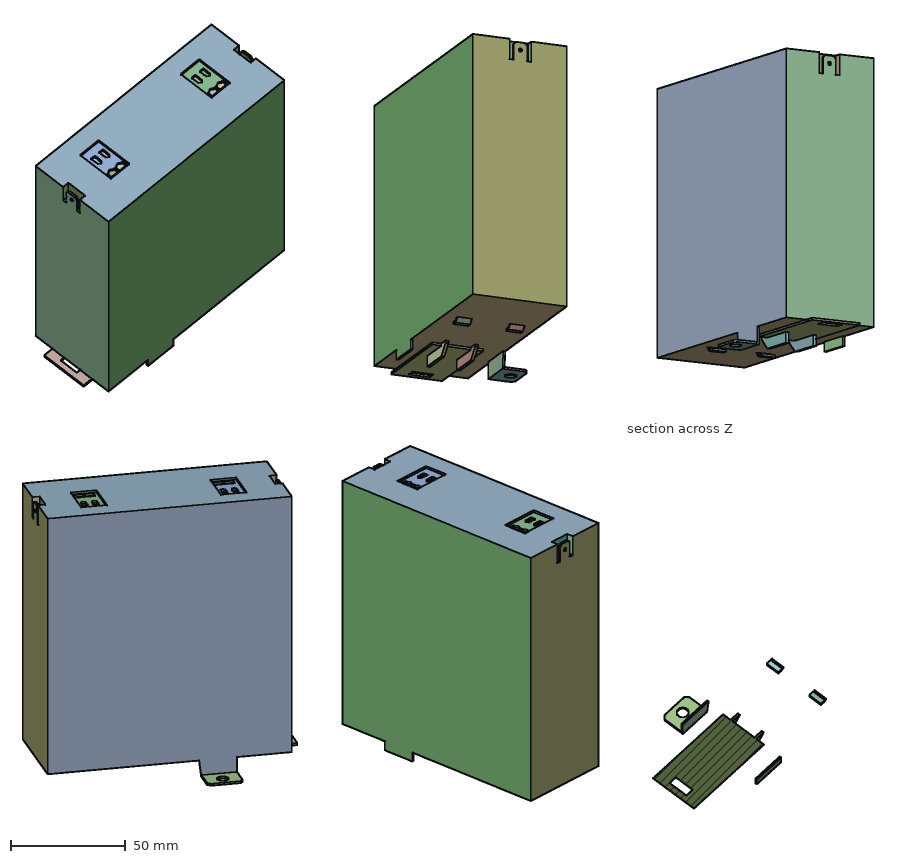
import cadquery as cq

OVERALL_X = 55.76
OVERALL_Y = 115.08
OVERALL_Z = 127.36
SHEET = 1.0

CASE_X = 44.5
CASE_Y = 110.0
CASE_Z = 119.5
MID_X = CASE_X / 2

NOTCH_MID_X = 21.95
NOTCH_WIDTH = 10.2
NOTCH_INSET = 3.3
NOTCH_DEPTH = 9.3
TONGUE_WIDTH = 6.3
TONGUE_CHAMFER = 1.1
TONGUE_DROP = 1.0
TONGUE_HOLE_DIA = 1.5
TONGUE_HOLE_DROP = 4.6

WINDOW_X = 18.8
WINDOW_Y = 11.6
WINDOW_DEPTH = SHEET
WINDOW_LEFT = 9.7
WINDOW_CENTRES_Y = (23.7, 86.6)
POLE_PITCH = 5.0
POLE_OFFSET_Y = 0.3
POLE_DEPTH = 1.0
RELEASE_LEFT = 4.3
RELEASE_LENGTH = 4.8
RELEASE_WIDTH = 2.2
RELEASE_HEAD_LENGTH = 2.6
RELEASE_HEAD_WIDTH = 2.4
RELEASE_BULGE = 0.8
ENTRY_RIGHT = 1.0
ENTRY_LENGTH = 2.7
ENTRY_WIDTH = 4.3
ENTRY_BULGE = 0.7
ENTRY_BULGE_WIDTH = 2.6

BRACKET_FRONT = 24.7
BRACKET_WIDTH = 16.0
BRACKET_ROOT_WIDTH = 17.0
BRACKET_DROP = OVERALL_Z - CASE_Z
BRACKET_REACH = OVERALL_X - CASE_X
BRACKET_CHAMFER = 1.5
BRACKET_HOLE_DIA = 5.2
BRACKET_HOLE_REACH = 6.3

LIP_DROP = 4.4

PLATE_WIDTH = 24.1
PLATE_FRONT = CASE_Y - OVERALL_Y
PLATE_BACK = BRACKET_FRONT + BRACKET_WIDTH
PLATE_SLOT_WIDTH = 9.8
PLATE_SLOT_FRONT = -2.05
PLATE_SLOT_LENGTH = 4.0
FIN_WIDTH = 1.4
FIN_SPACING = 14.0
FIN_DROP = 5.8
FIN_BACK = 45.4

HOOK_WIDTH = 6.9
HOOKS_OUTER_WIDTH = 31.9
HOOK_TIP = 73.4
HOOK_BACK = 78.0


def box(x, y, z):
    """Box spanning the (low, high) pairs x, y and z."""
    size = (x[1] - x[0], y[1] - y[0], z[1] - z[0])
    return cq.Workplane("XY").box(*size, centered=False).translate((x[0], y[0], z[0]))


def centred(middle, width):
    """Low and high ends of a width about a middle."""
    return (middle - width / 2, middle + width / 2)


def side_profile(points, x):
    """Extrude a (y, z) outline over the (low, high) pair x."""
    return cq.Workplane("YZ").workplane(offset=x[0]).polyline(points).close().extrude(x[1] - x[0])


def earth_notch():
    """Cut for the front earth tongue: a notch in the wall, less the tongue standing in it."""
    floor = CASE_Z - NOTCH_DEPTH
    tip = CASE_Z - TONGUE_DROP
    notch = box(centred(NOTCH_MID_X, NOTCH_WIDTH), (0, NOTCH_INSET), (floor, CASE_Z))
    tongue = box(centred(NOTCH_MID_X, TONGUE_WIDTH), (0, SHEET), (floor, tip))
    tongue = tongue.edges("|Y and >Z").chamfer(TONGUE_CHAMFER)
    hole = (
        cq.Workplane("XZ", origin=(NOTCH_MID_X, 0, CASE_Z - TONGUE_HOLE_DROP))
        .circle(TONGUE_HOLE_DIA / 2)
        .extrude(-SHEET)
    )
    return notch.cut(tongue.cut(hole))


def release_slot(middle_y, top):
    """Screwdriver slot with a slightly wider square left part and a rounded right end."""
    left = WINDOW_LEFT + RELEASE_LEFT
    step = left + RELEASE_HEAD_LENGTH
    right = left + RELEASE_LENGTH
    low, high = centred(middle_y, RELEASE_WIDTH)
    head_low, head_high = centred(middle_y, RELEASE_HEAD_WIDTH)
    return (
        cq.Workplane("XY", origin=(0, 0, top))
        .moveTo(left, head_low)
        .lineTo(step, head_low)
        .lineTo(step, low)
        .lineTo(right - RELEASE_BULGE, low)
        .threePointArc((right, middle_y), (right - RELEASE_BULGE, high))
        .lineTo(step, high)
        .lineTo(step, head_high)
        .lineTo(left, head_high)
        .close()
        .extrude(-POLE_DEPTH)
    )


def wire_entry(middle_y, top):
    """Rectangular wire entry with a round bulge on its left side."""
    right = WINDOW_LEFT + WINDOW_X - ENTRY_RIGHT
    left = right - ENTRY_LENGTH
    low, high = centred(middle_y, ENTRY_WIDTH)
    bulge_low, bulge_high = centred(middle_y, ENTRY_BULGE_WIDTH)
    return (
        cq.Workplane("XY", origin=(0, 0, top))
        .moveTo(right, low)
        .lineTo(right, high)
        .lineTo(left, high)
        .lineTo(left, bulge_high)
        .threePointArc((left - ENTRY_BULGE, middle_y), (left, bulge_low))
        .lineTo(left, low)
        .close()
        .extrude(-POLE_DEPTH)
    )


def terminal_window(middle_y):
    """Cut for one two-pole terminal: the window and the openings in its floor."""
    floor = CASE_Z - WINDOW_DEPTH
    x = (WINDOW_LEFT, WINDOW_LEFT + WINDOW_X)
    cut = box(x, centred(middle_y, WINDOW_Y), (floor, CASE_Z))
    for pole_y in centred(middle_y + POLE_OFFSET_Y, POLE_PITCH):
        cut = cut.union(release_slot(pole_y, floor)).union(wire_entry(pole_y, floor))
    return cut


def case():
    body = box((0, CASE_X), (0, CASE_Y), (0, CASE_Z))
    front_notch = earth_notch()
    body = body.cut(front_notch)
    body = body.cut(front_notch.mirror("XZ", (0, CASE_Y / 2, 0)))
    for middle_y in WINDOW_CENTRES_Y:
        body = body.cut(terminal_window(middle_y))
    return body


def mounting_bracket():
    """Tapered leg continuing the left wall downward, with a drilled foot turned outward."""
    back = BRACKET_FRONT + BRACKET_WIDTH
    outline = [
        (BRACKET_FRONT, 0),
        (BRACKET_FRONT + BRACKET_ROOT_WIDTH, 0),
        (back, -BRACKET_DROP),
        (BRACKET_FRONT, -BRACKET_DROP),
    ]
    leg = side_profile(outline, (0, SHEET))
    foot = box((-BRACKET_REACH, SHEET), (BRACKET_FRONT, back), (-BRACKET_DROP, SHEET - BRACKET_DROP))
    foot = foot.edges("|Z and <X").chamfer(BRACKET_CHAMFER)
    hole = (
        cq.Workplane("XY", origin=(-BRACKET_HOLE_REACH, BRACKET_FRONT + BRACKET_WIDTH / 2, -BRACKET_DROP))
        .circle(BRACKET_HOLE_DIA / 2)
        .extrude(SHEET)
    )
    return leg.union(foot.cut(hole))


def lip():
    """Short lip continuing the right wall downward, opposite the bracket."""
    return box(
        (CASE_X - SHEET, CASE_X),
        (BRACKET_FRONT, BRACKET_FRONT + BRACKET_WIDTH),
        (-LIP_DROP, 0),
    )


def base_plate():
    """Slotted plate that sticks out at the front and carries two fins with 45 degree back ends."""
    plate = box(centred(MID_X, PLATE_WIDTH), (PLATE_FRONT, PLATE_BACK), (-SHEET, 0))
    slot_y = (PLATE_SLOT_FRONT, PLATE_SLOT_FRONT + PLATE_SLOT_LENGTH)
    plate = plate.cut(box(centred(MID_X, PLATE_SLOT_WIDTH), slot_y, (-SHEET, 0)))
    fin_outline = [
        (BRACKET_FRONT, 0),
        (FIN_BACK, 0),
        (FIN_BACK, -SHEET),
        (FIN_BACK - (FIN_DROP - SHEET), -FIN_DROP),
        (BRACKET_FRONT, -FIN_DROP),
    ]
    for fin_x in centred(MID_X, FIN_SPACING):
        plate = plate.union(side_profile(fin_outline, centred(fin_x, FIN_WIDTH)))
    return plate


def rail_hooks():
    """Two forward-pointing hooks, each sloping down from the case and then running level."""
    outline = [
        (HOOK_BACK, 0),
        (HOOK_BACK - 2 * SHEET, -2 * SHEET),
        (HOOK_TIP, -2 * SHEET),
        (HOOK_TIP, -SHEET),
        (HOOK_BACK - 2 * SHEET, -SHEET),
        (HOOK_BACK - SHEET, 0),
    ]
    hooks = cq.Workplane("XY")
    for hook_x in centred(MID_X, HOOKS_OUTER_WIDTH - HOOK_WIDTH):
        hooks = hooks.union(side_profile(outline, centred(hook_x, HOOK_WIDTH)))
    return hooks


result = case().union(mounting_bracket()).union(lip()).union(base_plate()).union(rail_hooks())